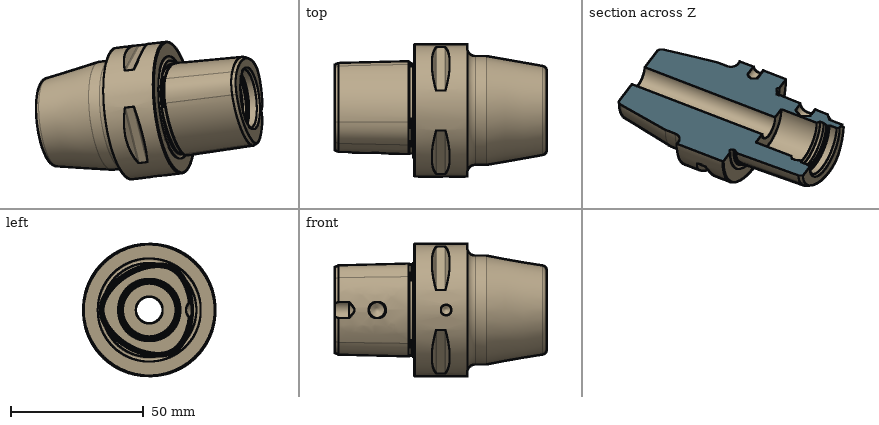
import cadquery as cq
import math

LENGTH = 80.0

LOBE_HEIGHT = 1.08
SHANK_END = 27.9
SHANK_RADIUS = 17.56
TAPER = 1 / 40
LEAD_LENGTH = 1.5
LEAD_DEPTH = 0.7
SEAM_PARAMETER = math.radians(26)

RELIEF_STEP = 0.2
RELIEF_STEP_LENGTH = 0.3
RELIEF_RADIUS = 17.6
RELIEF_BEVEL_END = 29.0
RELIEF_BEVEL_RADIUS = 18.5
COLLAR_FACE = 29.6
COLLAR_RADIUS = 17.8

FLANGE_RADIUS = 25.0
FLANGE_FACE = 30.0
FLANGE_WIDTH = 20.0
FLANGE_BACK = FLANGE_FACE + FLANGE_WIDTH
FLANGE_MIDDLE = FLANGE_FACE + FLANGE_WIDTH / 2
FLANGE_CHAMFER = 0.3
FACE_GROOVE_RADIUS = 19.4
FACE_GROOVE_DEPTH = 0.6

NOSE_RADIUS = 20.6
NOSE_FILLET = 3.0
NOSE_STRAIGHT_END = 57.3
NOSE_SLOPE = math.radians(10)
NOSE_TIP_ROUND = 2.0

THROUGH_RADIUS = 5.0
BORE_RADIUS = 9.9
BORE_DEPTH = 24.0
MOUTH_RADIUS = 11.8
MOUTH_CHAMFER = 1.0
ENTRY_RADIUS = 11.0
LIP_RADIUS = 10.52
LIP_ENTRY = 4.0
LIP_LENGTH = 0.6
LIP_BACK = 6.5
CLAMP_GROOVE_END = 8.0
CLAMP_GROOVE_CONE = 0.9

NOTCH_COUNT = 4
NOTCH_FLOOR = 22.2
NOTCH_FLOOR_WIDTH = 3.5
NOTCH_WALL_SLOPE = math.radians(30)
NOTCH_CORNER_ROUND = 0.4

DRILL_TIP_SLOPE = math.radians(31)
SHANK_HOLE_X = 16.0
SHANK_HOLE_RADIUS = 3.0
SHANK_HOLE_COUNTERSINK = 0.2
SHANK_HOLE_DEPTH = 4.0
SHANK_FLAT_RADIUS = SHANK_RADIUS - LOBE_HEIGHT - TAPER * (SHANK_END - SHANK_HOLE_X)
FLANGE_HOLE_X = 42.0
FLANGE_HOLE_RADIUS = 2.0
FLANGE_HOLE_DEPTH = 4.8
KEYWAY_RADIUS = 3.4
KEYWAY_OFFSET = 17.3
KEYWAY_LENGTH = 5.4

CLEARANCE = 1.6


def lobe_point(mean_radius, parameter):
    """Point (Y, Z) of the three-lobed curve."""
    a = parameter
    y = mean_radius * math.cos(a) + 2 * LOBE_HEIGHT * math.cos(2 * a) - LOBE_HEIGHT * math.cos(4 * a)
    z = mean_radius * math.sin(a) - 2 * LOBE_HEIGHT * math.sin(2 * a) - LOBE_HEIGHT * math.sin(4 * a)
    return y, z


def lobe_wire(x, mean_radius):
    """Closed three-lobed outline at station x, as a lobe and a flank patch per 120 degrees."""
    third = math.radians(120)
    steps = 8
    edges = []
    for turn in range(3):
        lobe_start = turn * third - SEAM_PARAMETER
        lobe_end = turn * third + SEAM_PARAMETER
        flank_end = lobe_start + third
        for start, end in ((lobe_start, lobe_end), (lobe_end, flank_end)):
            parameters = [start + (end - start) * i / steps for i in range(steps + 1)]
            points = [cq.Vector(x, *lobe_point(mean_radius, a)) for a in parameters]
            edges.append(cq.Edge.makeSpline(points))
    return cq.Wire.assembleEdges(edges)


def lobe_section(*stations):
    """Three-lobed solid through (x, mean radius) stations, straight between them."""
    wires = [lobe_wire(x, mean_radius) for x, mean_radius in stations]
    return cq.Workplane(obj=cq.Solid.makeLoft(wires, True))


def revolve_x(profile):
    return profile.close().revolve(360, (0, 0, 0), (1, 0, 0))


def shank():
    """Tapered polygon with a lead-in chamfer, and the stepped relief behind it."""
    lead_radius = SHANK_RADIUS - TAPER * (SHANK_END - LEAD_LENGTH)
    taper = lobe_section(
        (0, lead_radius - LEAD_DEPTH),
        (LEAD_LENGTH, lead_radius),
        (SHANK_END, SHANK_RADIUS),
    )
    relief_radius = SHANK_RADIUS - RELIEF_STEP
    step_end = SHANK_END + RELIEF_STEP_LENGTH
    relief_lobes = lobe_section(
        (SHANK_END, SHANK_RADIUS),
        (step_end, relief_radius),
        (FLANGE_FACE, relief_radius),
    )
    relief_turning = revolve_x(
        cq.Workplane("XY")
        .moveTo(SHANK_END, 0)
        .lineTo(SHANK_END, RELIEF_BEVEL_RADIUS)
        .lineTo(RELIEF_BEVEL_END, RELIEF_RADIUS)
        .lineTo(FLANGE_FACE, RELIEF_RADIUS)
        .lineTo(FLANGE_FACE, 0)
    )
    return taper.union(relief_lobes.intersect(relief_turning))


def flange_and_nose():
    """Turned body: collar, face groove, flange and conical nose."""
    round_x = LENGTH - NOSE_TIP_ROUND
    tangent_x = round_x + NOSE_TIP_ROUND * math.sin(NOSE_SLOPE)
    tangent_radius = NOSE_RADIUS - (tangent_x - NOSE_STRAIGHT_END) * math.tan(NOSE_SLOPE)
    round_radius = tangent_radius - NOSE_TIP_ROUND * math.cos(NOSE_SLOPE)
    round_middle = (math.pi / 2 - NOSE_SLOPE) / 2
    return revolve_x(
        cq.Workplane("XY")
        .moveTo(COLLAR_FACE, 0)
        .lineTo(COLLAR_FACE, COLLAR_RADIUS)
        .threePointArc(
            (FLANGE_FACE + FACE_GROOVE_DEPTH, (COLLAR_RADIUS + FACE_GROOVE_RADIUS) / 2),
            (FLANGE_FACE, FACE_GROOVE_RADIUS),
        )
        .lineTo(FLANGE_FACE, FLANGE_RADIUS - FLANGE_CHAMFER)
        .lineTo(FLANGE_FACE + FLANGE_CHAMFER, FLANGE_RADIUS)
        .lineTo(FLANGE_BACK, FLANGE_RADIUS)
        .lineTo(FLANGE_BACK, NOSE_RADIUS + NOSE_FILLET)
        .radiusArc((FLANGE_BACK + NOSE_FILLET, NOSE_RADIUS), -NOSE_FILLET)
        .lineTo(NOSE_STRAIGHT_END, NOSE_RADIUS)
        .lineTo(tangent_x, tangent_radius)
        .threePointArc(
            (
                round_x + NOSE_TIP_ROUND * math.cos(round_middle),
                round_radius + NOSE_TIP_ROUND * math.sin(round_middle),
            ),
            (LENGTH, round_radius),
        )
        .lineTo(LENGTH, 0)
    )


def bore():
    """Stepped bore with a clamping groove behind a lip, then the through hole."""
    lip_start = LIP_ENTRY + ENTRY_RADIUS - LIP_RADIUS
    return revolve_x(
        cq.Workplane("XY")
        .moveTo(0, 0)
        .lineTo(0, MOUTH_RADIUS)
        .lineTo(MOUTH_CHAMFER, ENTRY_RADIUS)
        .lineTo(LIP_ENTRY, ENTRY_RADIUS)
        .lineTo(lip_start, LIP_RADIUS)
        .lineTo(lip_start + LIP_LENGTH, LIP_RADIUS)
        .lineTo(LIP_BACK, ENTRY_RADIUS)
        .lineTo(CLAMP_GROOVE_END, ENTRY_RADIUS)
        .lineTo(CLAMP_GROOVE_END + CLAMP_GROOVE_CONE, BORE_RADIUS)
        .lineTo(BORE_DEPTH, BORE_RADIUS)
        .lineTo(BORE_DEPTH, THROUGH_RADIUS)
        .lineTo(LENGTH, THROUGH_RADIUS)
        .lineTo(LENGTH, 0)
    )


def gripper_notches():
    """Trapezoidal notches with sloped walls, midway between the Y and Z directions."""
    floor_half = NOTCH_FLOOR_WIDTH / 2
    top = FLANGE_RADIUS + CLEARANCE
    top_half = floor_half + (top - NOTCH_FLOOR) * math.tan(NOTCH_WALL_SLOPE)
    notch = (
        cq.Workplane("XZ")
        .moveTo(FLANGE_MIDDLE - floor_half, NOTCH_FLOOR)
        .lineTo(FLANGE_MIDDLE + floor_half, NOTCH_FLOOR)
        .lineTo(FLANGE_MIDDLE + top_half, top)
        .lineTo(FLANGE_MIDDLE - top_half, top)
        .close()
        .extrude(FLANGE_RADIUS, both=True)
        .faces("<Z")
        .edges("|Y")
        .fillet(NOTCH_CORNER_ROUND)
    )
    pitch = 360 / NOTCH_COUNT
    notches = cq.Workplane("XY")
    for i in range(NOTCH_COUNT):
        notches = notches.add(notch.rotate((0, 0, 0), (1, 0, 0), (i + 0.5) * pitch))
    return notches.combine()


def drill(radius, depth, tip_slope):
    """Drill along +Z from the origin with a conical tip, reaching back past its entry."""
    return (
        cq.Workplane("XZ")
        .moveTo(0, -CLEARANCE)
        .lineTo(radius, -CLEARANCE)
        .lineTo(radius, depth)
        .lineTo(0, depth + radius * math.tan(tip_slope))
        .close()
        .revolve(360, (0, 0, 0), (0, 1, 0))
    )


def side_drill(x, surface_radius, radius, depth):
    """Blind hole drilled from the -Y side toward the axis."""
    tool = drill(radius, depth, DRILL_TIP_SLOPE)
    return tool.rotate((0, 0, 0), (1, 0, 0), -90).translate((x, -surface_radius, 0))


def shank_hole():
    """Blind hole in the -Y flat with a 45 degree countersink."""
    hole = side_drill(SHANK_HOLE_X, SHANK_FLAT_RADIUS, SHANK_HOLE_RADIUS, SHANK_HOLE_DEPTH)
    mouth_radius = SHANK_HOLE_RADIUS + SHANK_HOLE_COUNTERSINK
    countersink = cq.Solid.makeCone(
        mouth_radius + CLEARANCE,
        SHANK_HOLE_RADIUS,
        CLEARANCE + SHANK_HOLE_COUNTERSINK,
        cq.Vector(SHANK_HOLE_X, -SHANK_FLAT_RADIUS - CLEARANCE, 0),
        cq.Vector(0, 1, 0),
    )
    return hole.union(cq.Workplane(obj=countersink))


def keyway():
    """Round keyway open at the shank end, running along the -Y flat to a 45 degree tip."""
    tool = drill(KEYWAY_RADIUS, KEYWAY_LENGTH, math.radians(45))
    return tool.rotate((0, 0, 0), (0, 1, 0), 90).translate((0, -KEYWAY_OFFSET, 0))


result = (
    shank()
    .union(flange_and_nose())
    .cut(bore())
    .cut(gripper_notches())
    .cut(shank_hole())
    .cut(side_drill(FLANGE_HOLE_X, FLANGE_RADIUS, FLANGE_HOLE_RADIUS, FLANGE_HOLE_DEPTH))
    .cut(keyway())
)